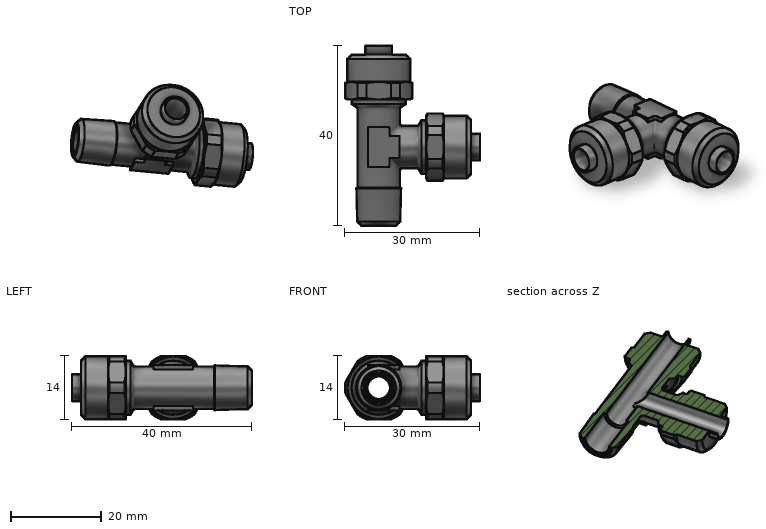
import math

import cadquery as cq


body_radius = 4.75
bore_radius = 2.5
junction_fillet = 0.45

arm_length = 22.5
collar_radius = 6.0
collar_start = 9.5
collar_cone_angle = 60
collar_root_fillet = 0.5
nut_start = 10.5
hex_sides = 6
hex_length = 4.0
hex_across_flats = 14.0
hex_corner_radius = 7.5
hex_face_radius = 6.9
hex_chamfer_angle = 30
sleeve_radius = hex_across_flats / 2
sleeve_end = 20.5
sleeve_chamfer = 1.0
barb_radius = 3.0
barb_tip_fillet = 0.2

male_length = 17.5
male_end_start = 9.0
thread_start = 9.2
thread_large_radius = 5.0
thread_tip_radius = 4.8
thread_chamfer = 1.0
male_bore_radius = 3.0
male_bore_depth = 9.5
male_bore_chamfer = 0.3
drill_point_angle = 120

pad_height = 5.0
pad_half_width = 2.4
pad_half_length = 4.4
pad_stem_half_width = 2.45
pad_stem_end = 4.6
pad_corner_radius = 0.25


def tan_deg(angle):
    return math.tan(math.radians(angle))


cone_start = collar_start - (collar_radius - body_radius) / tan_deg(collar_cone_angle)
blend_tangent = collar_root_fillet * tan_deg(collar_cone_angle / 2)
tube_end = cone_start - blend_tangent


def rod(radius, start, end):
    """Cylinder about Y between two Y positions."""
    return cq.Workplane("XZ", origin=(0, start, 0)).circle(radius).extrude(start - end)


def turned(points):
    """Solid of revolution about Y from a (radius, y) outline."""
    return cq.Workplane("XY").polyline(points).close().revolve(360, (0, 0), (0, 1))


def to_branch(shape):
    """Turn a shape lying along +Y onto +X."""
    return shape.rotate((0, 0, 0), (0, 0, 1), -90)


def make_pad(outer_z):
    """T-shaped pad reaching from the plane of the bore axes to its flat outer face."""
    pad = (
        cq.Workplane("XY")
        .moveTo(-pad_half_width, -pad_half_length)
        .lineTo(pad_half_width, -pad_half_length)
        .lineTo(pad_half_width, -pad_stem_half_width)
        .lineTo(pad_stem_end, -pad_stem_half_width)
        .lineTo(pad_stem_end, pad_stem_half_width)
        .lineTo(pad_half_width, pad_stem_half_width)
        .lineTo(pad_half_width, pad_half_length)
        .lineTo(-pad_half_width, pad_half_length)
        .close()
        .extrude(outer_z)
    )
    crossbar = cq.selectors.BoxSelector(
        (-pad_stem_end, -body_radius, -pad_height),
        ((pad_half_width + pad_stem_end) / 2, body_radius, pad_height),
    )
    return pad.edges("|Z").edges(crossbar).fillet(pad_corner_radius)


def make_junction():
    """Crossing tubes with pads, with the tube intersection filleted."""
    run = rod(body_radius, -male_end_start, tube_end)
    branch = to_branch(rod(body_radius, 0, tube_end))
    junction = run.union(branch)
    for outer_z in (pad_height, -pad_height):
        junction = junction.union(make_pad(outer_z))
    inner = pad_half_width - pad_corner_radius
    reach = body_radius + junction_fillet
    for side in (1, -1):
        low, high = sorted((side * inner, side * reach))
        crease = cq.selectors.BoxSelector((inner, low, -bore_radius), (reach, high, bore_radius))
        junction = junction.edges(crease).fillet(junction_fillet)
    return junction


def make_collar():
    """Collar whose back cone blends into the tube with a fillet."""
    slope = math.radians(collar_cone_angle)
    blend_start = (body_radius, tube_end)
    blend_end = (body_radius + blend_tangent * math.sin(slope), cone_start + blend_tangent * math.cos(slope))
    return (
        cq.Workplane("XY")
        .moveTo(0, blend_start[1])
        .lineTo(*blend_start)
        .radiusArc(blend_end, collar_root_fillet)
        .lineTo(collar_radius, collar_start)
        .lineTo(collar_radius, nut_start)
        .lineTo(0, nut_start)
        .close()
        .revolve(360, (0, 0), (0, 1))
    )


def make_nut():
    """Hexagon with turned-down corners, chamfered at both ends, and its round sleeve."""
    hex_end = nut_start + hex_length
    chamfer = (hex_corner_radius - hex_face_radius) * tan_deg(hex_chamfer_angle)
    blank = turned([
        (0, nut_start),
        (hex_face_radius, nut_start),
        (hex_corner_radius, nut_start + chamfer),
        (hex_corner_radius, hex_end - chamfer),
        (hex_face_radius, hex_end),
        (0, hex_end),
    ])
    across_corners = hex_across_flats / math.cos(math.pi / hex_sides)
    hexagon = (
        cq.Workplane("XZ", origin=(0, nut_start, 0))
        .polygon(hex_sides, across_corners)
        .extrude(-hex_length)
    )
    sleeve = rod(sleeve_radius, hex_end, sleeve_end).faces(">Y").chamfer(sleeve_chamfer)
    return blank.intersect(hexagon).union(sleeve)


def make_arm():
    """Complete compression arm along +Y, still without its bore."""
    barb = rod(barb_radius, sleeve_end, arm_length).faces(">Y").edges().fillet(barb_tip_fillet)
    return make_collar().union(make_nut()).union(barb)


def make_male_end():
    """Tapered thread blank with a short cone rising from the tube and a chamfered tip."""
    chamfer_start = -male_length + thread_chamfer
    return turned([
        (0, -male_end_start),
        (body_radius, -male_end_start),
        (thread_large_radius, -thread_start),
        (thread_tip_radius, chamfer_start),
        (thread_tip_radius - thread_chamfer, -male_length),
        (0, -male_length),
    ])


def make_male_bore():
    """Wider bore with a chamfered mouth and a drill-point floor."""
    floor = -male_length + male_bore_depth
    point = floor + male_bore_radius / tan_deg(drill_point_angle / 2)
    return turned([
        (0, -male_length),
        (male_bore_radius + male_bore_chamfer, -male_length),
        (male_bore_radius, -male_length + male_bore_chamfer),
        (male_bore_radius, floor),
        (0, point),
    ])


arm = make_arm()
solid_body = make_junction().union(arm).union(to_branch(arm)).union(make_male_end())

run_bore = rod(bore_radius, -male_length, arm_length)
branch_bore = to_branch(rod(bore_radius, 0, arm_length))
result = solid_body.cut(run_bore).cut(branch_bore).cut(make_male_bore())